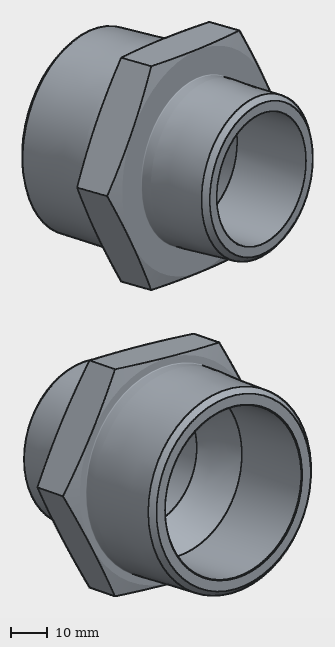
import cadquery as cq
import math

total_length = 62.0
hex_start = 26.8
hex_end = 39.5

across_flats = 65.0
across_corners = across_flats / math.cos(math.radians(30))
hex_chamfer_circle = 64.6
hex_chamfer_depth = 1.0

thread_taper = 1 / 16
large_shank_diameter = 60.08
large_thread_length = 23.4
small_shank_diameter = 48.2
small_thread_length = 19.2
end_chamfer = 1.6
root_fillet = 0.25

large_bore_diameter = 49.0
small_bore_diameter = 38.0
large_bore_depth = 25.0
bore_cone_length = 12.5
bore_mouth_chamfer = 0.2


def revolve_about_x(points):
    """Revolve a closed (x, radius) outline about the X axis."""
    return cq.Workplane("XY").polyline(points).close().revolve(360, (0, 0, 0), (1, 0, 0))


def make_shank(end_x, direction, hex_face_x, shank_diameter, thread_length):
    """Chamfered tapered thread with a short cylinder filleted into the hexagon."""
    shank_radius = shank_diameter / 2
    tip_radius = shank_radius - (thread_length - end_chamfer) * thread_taper / 2
    fillet_start_x = hex_face_x - direction * root_fillet
    fillet_offset = root_fillet * (1 - math.sqrt(0.5))
    outline = (
        cq.Workplane("XY")
        .moveTo(end_x, 0)
        .lineTo(end_x, tip_radius - end_chamfer)
        .lineTo(end_x + direction * end_chamfer, tip_radius)
        .lineTo(end_x + direction * thread_length, shank_radius)
        .lineTo(fillet_start_x, shank_radius)
        .threePointArc(
            (hex_face_x - direction * fillet_offset, shank_radius + fillet_offset),
            (hex_face_x, shank_radius + root_fillet),
        )
        .lineTo(hex_face_x, 0)
        .close()
    )
    return outline.revolve(360, (0, 0, 0), (1, 0, 0))


def make_hexagon():
    """Hexagon with flats facing +Z and -Z and coned corners on both faces."""
    prism = (
        cq.Workplane("YZ", origin=(hex_start, 0, 0))
        .polygon(6, across_corners)
        .extrude(hex_end - hex_start)
    )
    corner_limit = revolve_about_x([
        (hex_start, 0),
        (hex_start, hex_chamfer_circle / 2),
        (hex_start + hex_chamfer_depth, across_corners / 2),
        (hex_end - hex_chamfer_depth, across_corners / 2),
        (hex_end, hex_chamfer_circle / 2),
        (hex_end, 0),
    ])
    return prism.intersect(corner_limit)


def make_bore():
    """Wide bore that narrows through a cone to the small through bore."""
    large_radius = large_bore_diameter / 2
    small_radius = small_bore_diameter / 2
    return revolve_about_x([
        (0, 0),
        (0, large_radius + bore_mouth_chamfer),
        (bore_mouth_chamfer, large_radius),
        (large_bore_depth, large_radius),
        (large_bore_depth + bore_cone_length, small_radius),
        (total_length, small_radius),
        (total_length, 0),
    ])


large_shank = make_shank(0, 1, hex_start, large_shank_diameter, large_thread_length)
small_shank = make_shank(total_length, -1, hex_end, small_shank_diameter, small_thread_length)

result = make_hexagon().union(large_shank).union(small_shank).cut(make_bore())